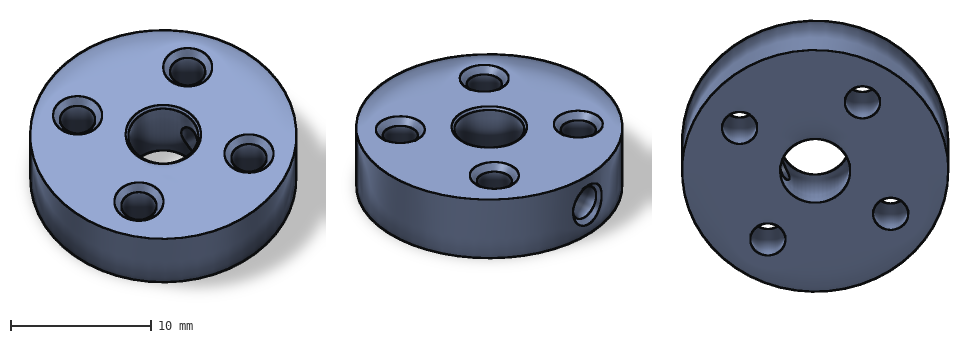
import cadquery as cq

hub_diameter = 19.0
hub_height = 5.0

bore_diameter = 5.0
bore_chamfer = 0.19

mount_diameter = 2.5
mount_chamfer = 0.5
mount_spacing = 8.99

set_screw_diameter = 2.5
set_screw_chamfer = 0.4


def chamfered_cutter(plane, length, diameter, chamfer):
    """Hole cutter along the plane's local y axis, flaring at 45 degrees at its far end."""
    radius = diameter / 2
    profile = [
        (0, 0),
        (radius, 0),
        (radius, length - chamfer),
        (radius + chamfer, length),
        (0, length),
    ]
    return cq.Workplane(plane).polyline(profile).close().revolve(360, (0, 0), (0, 1))


hub = cq.Workplane("XY").circle(hub_diameter / 2).extrude(hub_height)

hub = hub.cut(chamfered_cutter("XZ", hub_height, bore_diameter, bore_chamfer))

mount_cutter = chamfered_cutter("XZ", hub_height, mount_diameter, mount_chamfer)
for x_side in (-1, 1):
    for y_side in (-1, 1):
        mount_x = x_side * mount_spacing / 2
        mount_y = y_side * mount_spacing / 2
        hub = hub.cut(mount_cutter.translate((mount_x, mount_y, 0)))

set_screw_cutter = chamfered_cutter("XY", hub_diameter / 2, set_screw_diameter, set_screw_chamfer)
hub = hub.cut(set_screw_cutter.translate((0, 0, hub_height / 2)))

result = hub